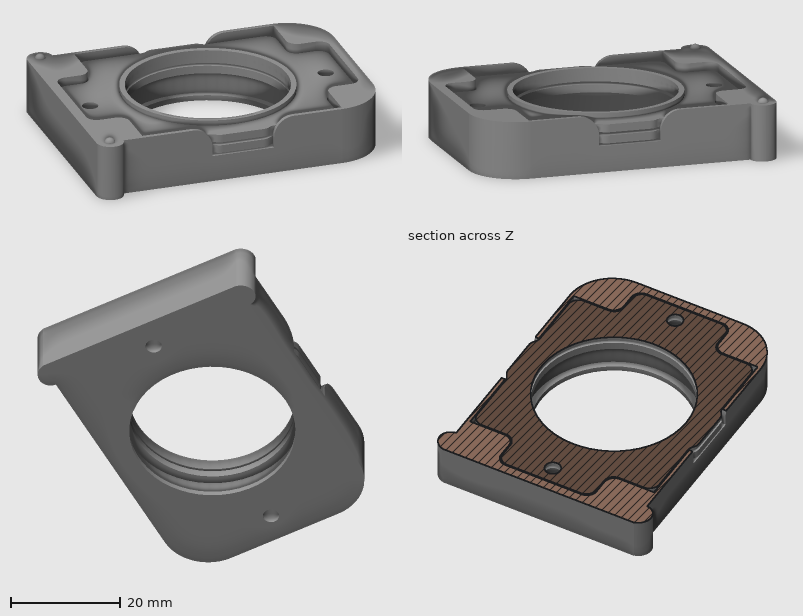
import cadquery as cq
import math

LENGTH = 56.45
FRONT_Y = -28.3
BODY_WIDTH = 40.25
FRONT_HEIGHT = 10.65
REAR_HEIGHT = 10.85
REAR_CORNER_RADIUS = 9.0

OVERALL_WIDTH = 44.6
LUG_DEPTH = 5.1
LUG_FRONT_RADIUS = 5.5 / 2
LUG_REAR_RADIUS = 2.3
DOME_X = 19.8
DOME_Y = FRONT_Y + LUG_DEPTH / 2
DOME_RADIUS = 1.0
DOME_TOP = 11.45

POCKET_WIDTH = 38.6
POCKET_CENTRE_LENGTH = 38.55
ARM_WIDTH = 20.0
POCKET_LENGTH = 52.55
POCKET_FLOOR = 5.0
INNER_RADIUS = 2.0
OUTER_RADIUS = 2.15

NOTCH_WIDTH = 11.95
NOTCH_RADIUS = 3.8

LENS_DIAMETER = 30.5
BORE_DIAMETER = 33.0
BORE_LIP = 1.0
SCREW_DIAMETER = 3.0
SCREW_Y = 22.8

PLATE_CLEARANCE = 0.1
PLATE_THICKNESS = 1.5
PLATE_GAP = 0.55
FLOOR_GAP = 0.4
LOWER_PLATE_Z = POCKET_FLOOR + FLOOR_GAP
UPPER_PLATE_Z = LOWER_PLATE_Z + PLATE_THICKNESS + PLATE_GAP
TAB_FLAT = 7.9
TAB_RADIUS = 2.0
RING_DIAMETER = 32.5
RING_HEIGHT = 1.0


def block(width, length, bottom, top):
    """Box centred on the Z axis between two heights."""
    return cq.Workplane("XY", origin=(0, 0, bottom)).rect(width, length).extrude(top - bottom)


def cylinder(diameter, bottom, top, x=0.0, y=0.0):
    """Upright cylinder between two heights."""
    return cq.Workplane("XY", origin=(x, y, bottom)).circle(diameter / 2).extrude(top - bottom)


def cross(width, centre_length, arm_width, length, tip_radius, bend_radius, bottom, top):
    """Cross with sharp centre corners; the arm tips and the bends into the arms are rounded."""
    arms = block(arm_width, length, bottom, top).edges("|Z").fillet(tip_radius)
    shape = block(width, centre_length, bottom, top).union(arms)
    bends = cq.selectors.BoxSelector(
        (-arm_width / 2 - 0.55, -centre_length / 2 - 0.55, bottom - 0.55),
        (arm_width / 2 + 0.55, centre_length / 2 + 0.55, top + 0.55),
    )
    return shape.edges("|Z").edges(bends).fillet(bend_radius)


def make_body_blank():
    """Slab with rounded rear corners, a lower front half and a lug on each front corner."""
    slab = block(BODY_WIDTH, LENGTH, 0, REAR_HEIGHT).edges("|Z and >Y").fillet(REAR_CORNER_RADIUS)
    blank = slab.translate((0, FRONT_Y + LENGTH / 2, 0))
    front_bar = block(OVERALL_WIDTH, LUG_DEPTH, 0, REAR_HEIGHT)
    front_bar = front_bar.edges("|Z and <Y").fillet(LUG_FRONT_RADIUS)
    front_bar = front_bar.edges("|Z and >Y").fillet(LUG_REAR_RADIUS)
    blank = blank.union(front_bar.translate((0, FRONT_Y + LUG_DEPTH / 2, 0)))
    front_step = block(OVERALL_WIDTH, LENGTH, FRONT_HEIGHT, REAR_HEIGHT)
    return blank.cut(front_step.translate((0, -LENGTH / 2, 0)))


def make_finger_notch():
    """Cutter along X: straight-sided at the bottom, flaring to both tops through quarter arcs."""
    half = NOTCH_WIDTH / 2
    diagonal = NOTCH_RADIUS * math.sqrt(0.5)
    rear_shoulder = REAR_HEIGHT - NOTCH_RADIUS
    front_shoulder = FRONT_HEIGHT - NOTCH_RADIUS
    flare = half + NOTCH_RADIUS
    profile = (
        cq.Workplane("YZ", origin=(-BODY_WIDTH / 2, 0, 0))
        .moveTo(-half, POCKET_FLOOR)
        .lineTo(half, POCKET_FLOOR)
        .lineTo(half, rear_shoulder)
        .threePointArc((flare - diagonal, rear_shoulder + diagonal), (flare, REAR_HEIGHT))
        .lineTo(flare, REAR_HEIGHT + 0.55)
        .lineTo(-flare, REAR_HEIGHT + 0.55)
        .lineTo(-flare, FRONT_HEIGHT)
        .threePointArc((diagonal - flare, front_shoulder + diagonal), (-half, front_shoulder))
        .close()
    )
    return profile.extrude(BODY_WIDTH)


def make_dome(side):
    """Locating dome: a ball sunk into the top of a lug."""
    return cq.Workplane("XY", origin=(side * DOME_X, DOME_Y, DOME_TOP - DOME_RADIUS)).sphere(DOME_RADIUS)


def make_screw_holes(top):
    """Cutter for the two screw holes on the Y axis, from Z = 0 up."""
    holes = cylinder(SCREW_DIAMETER, 0, top, y=SCREW_Y)
    return holes.union(cylinder(SCREW_DIAMETER, 0, top, y=-SCREW_Y))


def make_housing():
    """Housing with pocket, finger notches, stepped bore, screw holes and domes."""
    housing = make_body_blank()
    for side in (-1, 1):
        housing = housing.union(make_dome(side))
    pocket = cross(
        POCKET_WIDTH,
        POCKET_CENTRE_LENGTH,
        ARM_WIDTH,
        POCKET_LENGTH,
        tip_radius=INNER_RADIUS,
        bend_radius=OUTER_RADIUS,
        bottom=POCKET_FLOOR,
        top=REAR_HEIGHT,
    )
    housing = housing.cut(pocket).cut(make_finger_notch())
    housing = housing.cut(cylinder(LENS_DIAMETER, 0, BORE_LIP))
    housing = housing.cut(cylinder(BORE_DIAMETER, BORE_LIP, REAR_HEIGHT))
    return housing.cut(make_screw_holes(REAR_HEIGHT))


def make_tabs(inner_half_width, bottom, thickness):
    """Strip across the plate whose ends blend out to the housing sides through S-shaped curves."""
    outer = BODY_WIDTH / 2
    drop = (outer - inner_half_width) / 2
    run = math.sqrt(TAB_RADIUS**2 - (TAB_RADIUS - drop) ** 2)
    half_flat = TAB_FLAT / 2
    middle = (outer - drop, half_flat + run)
    end = (inner_half_width, half_flat + 2 * run)

    def half_strip(sign):
        return (
            cq.Workplane("XY", origin=(0, 0, bottom))
            .moveTo(0, -end[1])
            .lineTo(sign * end[0], -end[1])
            .radiusArc((sign * middle[0], -middle[1]), sign * TAB_RADIUS)
            .radiusArc((sign * outer, -half_flat), -sign * TAB_RADIUS)
            .lineTo(sign * outer, half_flat)
            .radiusArc((sign * middle[0], middle[1]), -sign * TAB_RADIUS)
            .radiusArc((sign * end[0], end[1]), sign * TAB_RADIUS)
            .lineTo(0, end[1])
            .close()
            .extrude(thickness)
        )

    return half_strip(1).union(half_strip(-1))


def make_plate(bottom):
    """Flat plate following the pocket outline, with side tabs, lens opening and screw holes."""
    top = bottom + PLATE_THICKNESS
    width = POCKET_WIDTH - 2 * PLATE_CLEARANCE
    plate = cross(
        width,
        POCKET_CENTRE_LENGTH - 2 * PLATE_CLEARANCE,
        ARM_WIDTH - 2 * PLATE_CLEARANCE,
        POCKET_LENGTH - 2 * PLATE_CLEARANCE,
        tip_radius=OUTER_RADIUS,
        bend_radius=INNER_RADIUS,
        bottom=bottom,
        top=top,
    )
    plate = plate.edges("|Z and (<X or >X)").fillet(OUTER_RADIUS)
    plate = plate.union(make_tabs(width / 2, bottom, PLATE_THICKNESS))
    return plate.cut(cylinder(LENS_DIAMETER, bottom, top)).cut(make_screw_holes(top))


def make_upper_plate():
    """Plate with a raised ring around the lens opening."""
    top = UPPER_PLATE_Z + PLATE_THICKNESS
    ring = cylinder(RING_DIAMETER, top, top + RING_HEIGHT)
    ring = ring.cut(cylinder(LENS_DIAMETER, top, top + RING_HEIGHT))
    return make_plate(UPPER_PLATE_Z).union(ring)


housing = make_housing()
lower_plate = make_plate(LOWER_PLATE_Z)
upper_plate = make_upper_plate()

result = cq.Compound.makeCompound([housing.val(), lower_plate.val(), upper_plate.val()])